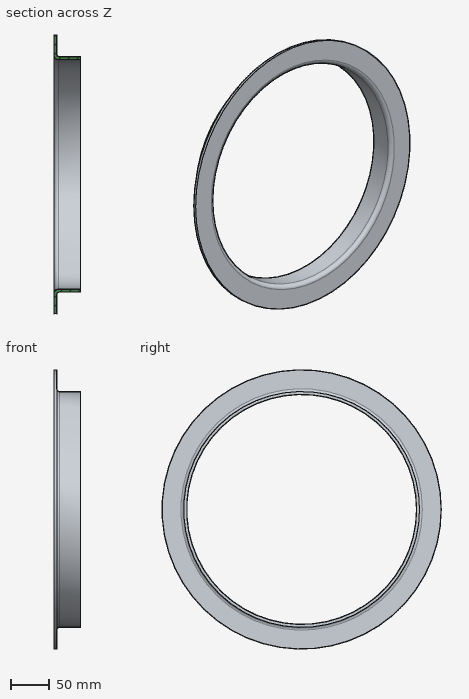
import cadquery as cq

flange_diameter = 365.0
collar_diameter = 308.0
bore_diameter = 300.0
total_length = 35.0
outer_bend_radius = 3.5
mouth_bend_radius = 6.0

wall_thickness = (collar_diameter - bore_diameter) / 2


def tube(outer_diameter, length):
    """Ring around the bore, running along +X from the flange face."""
    profile = cq.Workplane("YZ").circle(outer_diameter / 2).circle(bore_diameter / 2)
    return profile.extrude(length)


flange = tube(flange_diameter, wall_thickness)
collar = tube(collar_diameter, total_length)
ring = flange.union(collar)

inner_circle = cq.selectors.RadiusNthSelector(0)

flange_back = ring.faces("%Plane").faces("<X[1]")
ring = flange_back.edges(inner_circle).fillet(outer_bend_radius)

flange_front = ring.faces("<X")
result = flange_front.edges(inner_circle).fillet(mouth_bend_radius)